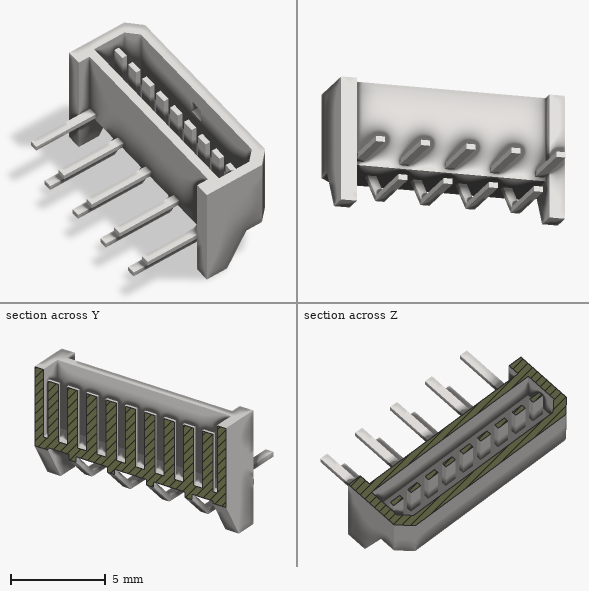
import cadquery as cq
import math


WIDTH = 12.4
DEPTH = 4.4
TOTAL_HEIGHT = 6.8
BODY_HEIGHT = 4.6
CORNER_CHAMFER = 0.79
FRONT_RECESS = 0.71
BODY_BOTTOM = TOTAL_HEIGHT - BODY_HEIGHT

LEG_WIDTH = 0.87
LEG_ROOT_DEPTH = 2.59
LEG_FOOT_DEPTH = 1.33

WALL = 0.58
FRONT_WALL = 0.51
CAVITY_CHAMFER = 0.62

WINDOW_SIZE = 0.84
WINDOW_DROP = 1.12

PIN_COUNT = 9
PITCH = 1.25
BLADE_WIDTH = 0.71
BLADE_THICKNESS = 0.3
BLADE_Y = 2.5
BLADE_DROP = 0.6
LEAD_WIDTH = 0.5
LEAD_THICKNESS = 0.3
LEAD_REACH = 3.2
UPPER_LEAD_BOTTOM = 2.39
LOWER_LEAD_BOTTOM = 0.38
DIAGONAL_BACK_Y = 2.84
BEND_ANGLE = 45.0


def chamfered_block(width, front, back, bottom, top, chamfer):
    """Upright block centred on X with its two back vertical corners chamfered."""
    return (
        cq.Workplane("XY")
        .box(width, back - front, top - bottom, centered=(True, False, False))
        .translate((0, front, bottom))
        .edges("|Z and >Y")
        .chamfer(chamfer)
    )


def leg(x_start):
    """End leg: full height at the front, sloped at the back below the body."""
    profile = [
        (0, 0),
        (LEG_FOOT_DEPTH, 0),
        (LEG_ROOT_DEPTH, BODY_BOTTOM),
        (LEG_ROOT_DEPTH, TOTAL_HEIGHT),
        (0, TOTAL_HEIGHT),
    ]
    return cq.Workplane("YZ", origin=(x_start, 0, 0)).polyline(profile).close().extrude(LEG_WIDTH)


def housing():
    """Open-topped shell with legs and the window in its back wall."""
    shell = chamfered_block(WIDTH, FRONT_RECESS, DEPTH, BODY_BOTTOM, TOTAL_HEIGHT, CORNER_CHAMFER)
    shell = shell.union(leg(-WIDTH / 2)).union(leg(WIDTH / 2 - LEG_WIDTH))
    cavity = chamfered_block(
        WIDTH - 2 * WALL,
        FRONT_RECESS + FRONT_WALL,
        DEPTH - WALL,
        BODY_BOTTOM + WALL,
        TOTAL_HEIGHT,
        CAVITY_CHAMFER,
    )
    window_z = TOTAL_HEIGHT - WINDOW_DROP - WINDOW_SIZE / 2
    window = cq.Workplane("XY").box(WINDOW_SIZE, WALL, WINDOW_SIZE)
    return shell.cut(cavity).cut(window.translate((0, DEPTH - WALL / 2, window_z)))


def blade(x):
    """Upright contact blade, rooted in the housing floor."""
    height = TOTAL_HEIGHT - BLADE_DROP - UPPER_LEAD_BOTTOM
    return (
        cq.Workplane("XY")
        .box(BLADE_WIDTH, BLADE_THICKNESS, height, centered=(True, True, False))
        .translate((x, BLADE_Y, UPPER_LEAD_BOTTOM))
    )


def lead(x, profile):
    """Lead of constant width from its YZ outline."""
    start = (x - LEAD_WIDTH / 2, 0, 0)
    return cq.Workplane("YZ", origin=start).polyline(profile).close().extrude(LEAD_WIDTH)


def upper_lead(x):
    """Straight lead leaving through the front wall."""
    top = UPPER_LEAD_BOTTOM + LEAD_THICKNESS
    return lead(x, [
        (BLADE_Y, UPPER_LEAD_BOTTOM),
        (BLADE_Y, top),
        (-LEAD_REACH, top),
        (-LEAD_REACH, UPPER_LEAD_BOTTOM),
    ])


def lower_lead(x):
    """Lead sloping down from the body bottom, then running level to its tip."""
    angle = math.radians(BEND_ANGLE)
    top = LOWER_LEAD_BOTTOM + LEAD_THICKNESS
    outer_bend_y = DIAGONAL_BACK_Y - (BODY_BOTTOM - LOWER_LEAD_BOTTOM) / math.tan(angle)
    inner_bend_y = outer_bend_y - LEAD_THICKNESS * math.tan(angle / 2)
    diagonal_front_y = DIAGONAL_BACK_Y - LEAD_THICKNESS / math.sin(angle)
    return lead(x, [
        (DIAGONAL_BACK_Y, BODY_BOTTOM),
        (outer_bend_y, LOWER_LEAD_BOTTOM),
        (-LEAD_REACH, LOWER_LEAD_BOTTOM),
        (-LEAD_REACH, top),
        (inner_bend_y, top),
        (diagonal_front_y, BODY_BOTTOM),
    ])


result = housing()
for index in range(PIN_COUNT):
    pin_x = (index - (PIN_COUNT - 1) / 2) * PITCH
    pin_lead = upper_lead(pin_x) if index % 2 == 0 else lower_lead(pin_x)
    result = result.union(blade(pin_x)).union(pin_lead)